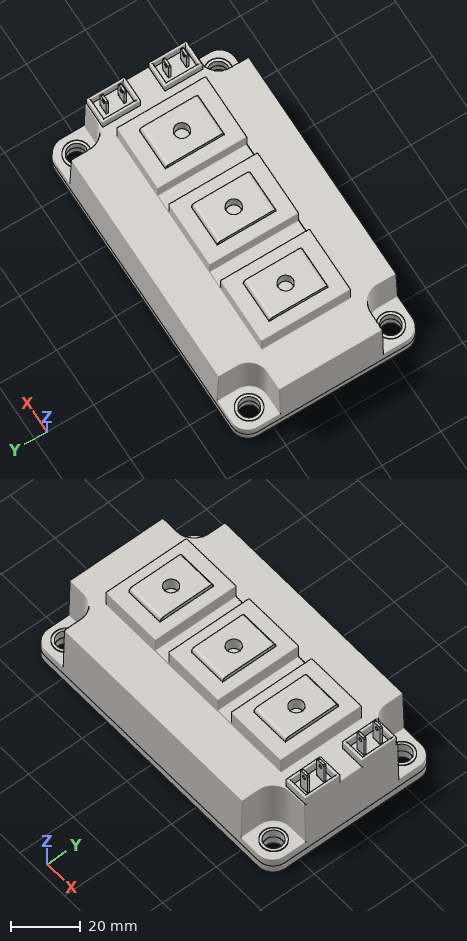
import cadquery as cq
LENGTH = 106.4
WIDTH = 61.4
CORNER_RADIUS = 5.5
DRAFT = 1.7
EDGE_RADIUS = 0.3

PLATE_TOP = 3.0
FLANGE_TOP = 5.9
HOUSING_TOP = 23.0
SLOT_FLOOR = 24.0
BLOCK_TOP = 29.0
TERMINAL_TOP = 30.5
PIN_TOP = 30.9
SOCKET_TOP = 26.0

HOLE_PITCH_X = 93.0
HOLE_PITCH_Y = 48.0
PLATE_HOLE_DIAMETER = 6.4
RIM_BORE_DIAMETER = 6.5
RIM_DIAMETER = 8.5
RIM_HEIGHT = 0.3
CUTOUT_X = 39.9
CUTOUT_Y = 17.5
CUTOUT_RADIUS = 6.3
CUTOUT_OVERHANG = 10.0

TERMINAL_PITCH = 28.0
BLOCK_LENGTH = 22.4
BLOCK_WIDTH = 30.2
TERMINAL_LENGTH = 14.0
TERMINAL_WIDTH = 20.0
TERMINAL_BEND_RADIUS = 1.45
SCREW_HOLE_DIAMETER = 4.92
TERMINAL_DEPTH = 3.0
TERMINAL_BOTTOM = BLOCK_TOP - TERMINAL_DEPTH

SOCKET_X = 48.1
SOCKET_Y = 10.55
SOCKET_LENGTH = 9.0
SOCKET_WIDTH = 13.0
SOCKET_WALL = 1.05
SOCKET_FLOOR = HOUSING_TOP
PIN_X = 48.15
PIN_PITCH = 6.1
PIN_WIDTH = 3.2
PIN_THICKNESS = 0.8
PIN_TIP_CHAMFER = 0.4
PIN_HOLE_DIAMETER = 1.2
PIN_HOLE_Z = 28.9

HOLE_CENTERS = [
    (x, y) for x in (-HOLE_PITCH_X / 2, HOLE_PITCH_X / 2) for y in (-HOLE_PITCH_Y / 2, HOLE_PITCH_Y / 2)
]
TERMINAL_CENTERS = [(i * TERMINAL_PITCH, 0) for i in (-1, 0, 1)]
SOCKET_CENTERS = [(SOCKET_X, side * SOCKET_Y) for side in (-1, 1)]
PIN_CENTERS = [(PIN_X, side * SOCKET_Y + step * PIN_PITCH / 2) for side in (-1, 1) for step in (-1, 1)]


def upright_prism(length, width, bottom, top, radius=0):
    """Prism centred on Z, with its four vertical edges rounded when a radius is given."""
    prism = cq.Workplane("XY", origin=(0, 0, bottom)).rect(length, width).extrude(top - bottom)
    return prism.edges("|Z").fillet(radius) if radius else prism


def height_band(bottom, top):
    """Selector for everything whose centre lies between two heights."""
    return cq.selectors.BoxSelector((-LENGTH, -WIDTH, bottom), (LENGTH, WIDTH, top))


def corner_cutout(side_x, side_y):
    """Tool that clears one corner above the flange."""
    length = LENGTH / 2 - CUTOUT_X + CUTOUT_OVERHANG
    width = WIDTH / 2 - CUTOUT_Y + CUTOUT_OVERHANG
    center = (side_x * (CUTOUT_X + length / 2), side_y * (CUTOUT_Y + width / 2), 0)
    return upright_prism(length, width, FLANGE_TOP, HOUSING_TOP, CUTOUT_RADIUS).translate(center)


def make_baseplate():
    plate = cq.Workplane("XY").rect(LENGTH, WIDTH).extrude(PLATE_TOP).edges("|Z").fillet(CORNER_RADIUS)
    return plate.faces(">Z").workplane().pushPoints(HOLE_CENTERS).hole(PLATE_HOLE_DIAMETER)


def make_shell():
    """Drafted body with its corners cut down to the mounting flange."""
    shell = (
        cq.Workplane("XY", origin=(0, 0, PLATE_TOP))
        .sketch()
        .rect(LENGTH, WIDTH)
        .vertices()
        .fillet(CORNER_RADIUS)
        .finalize()
        .extrude(HOUSING_TOP - PLATE_TOP, taper=DRAFT)
    )
    for side_x in (-1, 1):
        for side_y in (-1, 1):
            shell = shell.cut(corner_cutout(side_x, side_y))
    wall_corners = height_band(FLANGE_TOP + EDGE_RADIUS, HOUSING_TOP - EDGE_RADIUS)
    shell = shell.edges("not |Z").edges(wall_corners).fillet(EDGE_RADIUS)
    at_flange = height_band(FLANGE_TOP - EDGE_RADIUS, FLANGE_TOP + EDGE_RADIUS)
    shell = shell.faces(">Z").edges().fillet(EDGE_RADIUS)
    return shell.edges(at_flange).fillet(EDGE_RADIUS)


def make_terminal_bar():
    """Bar slotted into one raised block per terminal."""
    length = 2 * TERMINAL_PITCH + BLOCK_LENGTH
    bar = upright_prism(length, BLOCK_WIDTH, HOUSING_TOP, BLOCK_TOP)
    slot = upright_prism(TERMINAL_PITCH - BLOCK_LENGTH, BLOCK_WIDTH, SLOT_FLOOR, BLOCK_TOP)
    for side in (-1, 1):
        bar = bar.cut(slot.translate((side * TERMINAL_PITCH / 2, 0, 0)))
    return bar.edges("not <Z").fillet(EDGE_RADIUS)


def make_socket():
    """Open-topped box around a pair of pins."""
    cavity = upright_prism(
        SOCKET_LENGTH - 2 * SOCKET_WALL, SOCKET_WIDTH - 2 * SOCKET_WALL, SOCKET_FLOOR, SOCKET_TOP
    )
    box = upright_prism(SOCKET_LENGTH, SOCKET_WIDTH, HOUSING_TOP - EDGE_RADIUS, SOCKET_TOP, EDGE_RADIUS)
    return box.cut(cavity).faces(">Z").edges().fillet(EDGE_RADIUS)


def make_housing():
    body = make_shell().union(make_terminal_bar())

    bar_foot = cq.selectors.BoxSelector(
        (-CUTOUT_X, -CUTOUT_Y, HOUSING_TOP - EDGE_RADIUS), (CUTOUT_X, CUTOUT_Y, HOUSING_TOP + EDGE_RADIUS)
    )
    body = body.edges(bar_foot).fillet(EDGE_RADIUS)

    rims = (
        cq.Workplane("XY", origin=(0, 0, FLANGE_TOP)).pushPoints(HOLE_CENTERS)
        .circle(RIM_DIAMETER / 2).extrude(RIM_HEIGHT)
    )
    bores = (
        cq.Workplane("XY", origin=(0, 0, PLATE_TOP)).pushPoints(HOLE_CENTERS)
        .circle(RIM_BORE_DIAMETER / 2).extrude(HOUSING_TOP - PLATE_TOP)
    )
    body = body.union(rims).cut(bores)

    socket = make_socket()
    for center in SOCKET_CENTERS:
        body = body.union(socket.translate(center))

    recess = upright_prism(TERMINAL_LENGTH, TERMINAL_WIDTH, TERMINAL_BOTTOM, BLOCK_TOP)
    for center in TERMINAL_CENTERS:
        body = body.cut(recess.translate(center))
    return body


def make_terminal(center):
    """Screw terminal sunk into its block, with both ends rounded over."""
    return (
        upright_prism(TERMINAL_LENGTH, TERMINAL_WIDTH, TERMINAL_BOTTOM, TERMINAL_TOP)
        .edges("|X and >Z")
        .fillet(TERMINAL_BEND_RADIUS)
        .faces(">Z")
        .workplane()
        .hole(SCREW_HOLE_DIAMETER)
        .translate(center)
    )


def make_pin(center):
    """Flat tab with a cross hole and chamfered tip corners."""
    blade = (
        upright_prism(PIN_WIDTH, PIN_THICKNESS, SOCKET_FLOOR, PIN_TOP)
        .edges("|Y and >Z")
        .chamfer(PIN_TIP_CHAMFER)
    )
    cross_hole = (
        cq.Workplane("XZ", origin=(0, 0, PIN_HOLE_Z))
        .circle(PIN_HOLE_DIAMETER / 2).extrude(PIN_THICKNESS, both=True)
    )
    return blade.cut(cross_hole).translate(center)


baseplate = make_baseplate()
housing = make_housing()
terminals = [make_terminal(center).val() for center in TERMINAL_CENTERS]
pins = [make_pin(center).val() for center in PIN_CENTERS]

result = cq.Compound.makeCompound([baseplate.val(), housing.val(), *terminals, *pins])